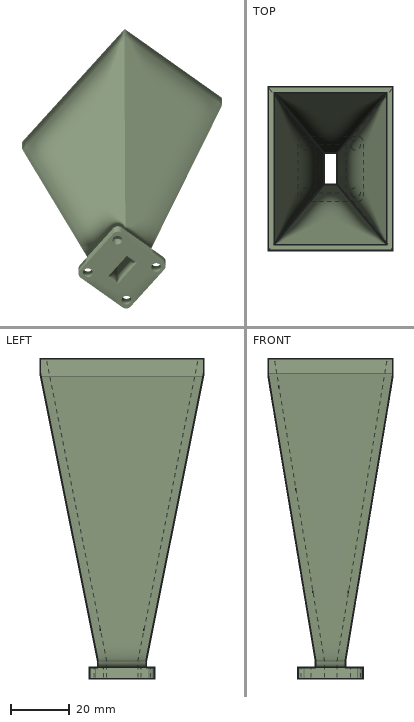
import cadquery as cq

guide_x = 4.318
guide_y = 10.668

flange_side = 22.4
flange_thickness = 4.0
flange_corner_radius = 2.0
bolt_spacing_x = 17.02
bolt_spacing_y = 16.26
bolt_hole_diameter = 3.3

neck_wall = 3.0
neck_height = 2.2
neck_x = guide_x + 2 * neck_wall
neck_y = guide_y + 2 * neck_wall
throat_z = flange_thickness + neck_height

total_height = 110.0
mouth_x = 42.79
mouth_y = 56.29
rim_wall_x = 2.02
rim_wall_y = 2.07
aperture_x = mouth_x - 2 * rim_wall_x
aperture_y = mouth_y - 2 * rim_wall_y

rim_height_x_sides = 6.1
rim_height_y_sides = 5.0


def upright_block(size_x, size_y, bottom_z, top_z):
    """Rectangular block centred on the Z axis."""
    height = top_z - bottom_z
    return cq.Workplane("XY").workplane(offset=bottom_z).rect(size_x, size_y).extrude(height)


def pyramid(bottom_x, bottom_y, top_x, top_y):
    """Four-sided flare from the throat to the top of the horn."""
    return (
        cq.Workplane("XY")
        .workplane(offset=throat_z)
        .rect(bottom_x, bottom_y)
        .workplane(offset=total_height - throat_z)
        .rect(top_x, top_y)
        .loft(ruled=True)
    )


def extended_width(neck_width, mouth_width, rim_height):
    """Width at the top of the horn if its walls kept sloping past the rim's lower edge."""
    flare_height = total_height - throat_z
    return neck_width + (mouth_width - neck_width) * flare_height / (flare_height - rim_height)


def make_flange():
    plate = upright_block(flange_side, flange_side, 0, flange_thickness)
    plate = plate.edges("|Z").fillet(flange_corner_radius)
    return (
        plate.faces(">Z")
        .workplane()
        .rect(bolt_spacing_x, bolt_spacing_y, forConstruction=True)
        .vertices()
        .hole(bolt_hole_diameter)
    )


def make_horn_body():
    """Outer pyramid, trimmed to the mouth size so an upright rim is left at the top."""
    flare = pyramid(
        neck_x,
        neck_y,
        extended_width(neck_x, mouth_x, rim_height_x_sides),
        extended_width(neck_y, mouth_y, rim_height_y_sides),
    )
    return flare.intersect(upright_block(mouth_x, mouth_y, throat_z, total_height))


def make_bore():
    """Straight guide through flange and neck, then the flare up to the aperture."""
    guide = upright_block(guide_x, guide_y, 0, throat_z)
    flare = pyramid(guide_x, guide_y, aperture_x, aperture_y)
    return guide.union(flare)


neck = upright_block(neck_x, neck_y, flange_thickness, throat_z)
result = make_flange().union(neck).union(make_horn_body()).cut(make_bore())